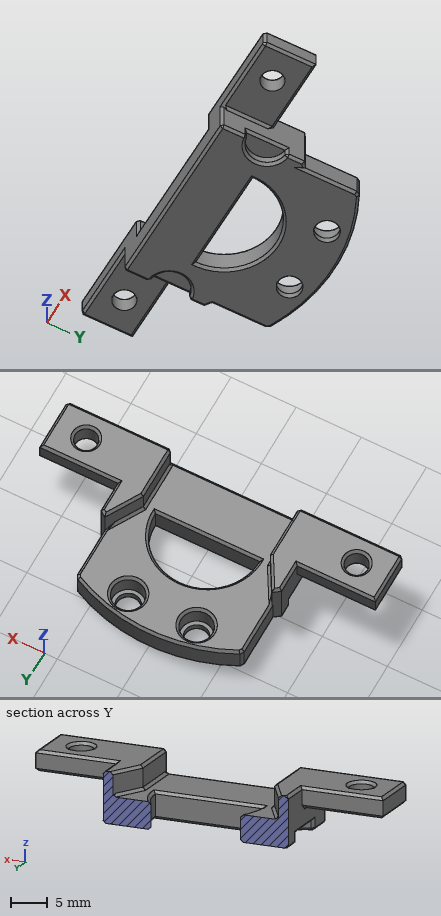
import cadquery as cq
import math

HALF_LENGTH = 25.75
TOP_Z = 7.5
PLATE_TOP_Z = 4.0
ARM_BOTTOM_Z = 4.5
ARM_DEPTH = 8.0
EDGE_CHAMFER = 0.4

PLATE_HALF_WIDTH = 12.8
PLATE_DEPTH = 25.03
BACK_RADIUS = 27.4
WINDOW_RADIUS = 8.0

BLOCK_HALF_WIDTH = 13.75
CHANNEL_HALF_WIDTH = 9.75
WALL_BEND_Y = 8.2
WALL_ANGLE = math.radians(60)
LEFT_CLIP_Y = 12.5
RIGHT_CLIP_Y = 12.85
CLIP_ANGLE = math.radians(36)

PLATE_HOLE_X = 5.25
PLATE_HOLE_Y = 21.0
PLATE_HOLE_DIAMETER = 3.6
COUNTERBORE_DIAMETER = 4.8
COUNTERBORE_DEPTH = 3.0
ARM_HOLE_X = 20.75
ARM_HOLE_Y = ARM_DEPTH / 2
ARM_HOLE_DIAMETER = 3.4

RECESS_RADIUS = 3.0
RECESS_DEPTH = 1.5
RECESS_Y = 7.05


def back_y(x):
    """Depth of the bowed back edge at a given x."""
    return PLATE_DEPTH - BACK_RADIUS + math.sqrt(BACK_RADIUS**2 - x**2)


def plate():
    """Plate with its window, top edges chamfered except along the front."""
    side_y = back_y(PLATE_HALF_WIDTH)
    outline = (
        cq.Workplane("XY")
        .moveTo(-PLATE_HALF_WIDTH, 0)
        .lineTo(PLATE_HALF_WIDTH, 0)
        .lineTo(PLATE_HALF_WIDTH, side_y)
        .threePointArc((0, PLATE_DEPTH), (-PLATE_HALF_WIDTH, side_y))
        .close()
        .extrude(PLATE_TOP_Z)
    )
    window = (
        cq.Workplane("XY")
        .moveTo(-WINDOW_RADIUS, ARM_DEPTH)
        .threePointArc((0, ARM_DEPTH + WINDOW_RADIUS), (WINDOW_RADIUS, ARM_DEPTH))
        .close()
        .extrude(PLATE_TOP_Z)
    )
    body = outline.edges("|Z").edges(">Y").chamfer(EDGE_CHAMFER).cut(window)
    return body.faces(">Z").edges("not <Y").chamfer(EDGE_CHAMFER)


def block(side, clip_y):
    """Raised block with a slanted inner wall and a clipped outer back corner."""
    wall_slope = math.tan(WALL_ANGLE)
    clip_slope = math.tan(CLIP_ANGLE)
    clip_y_at_wall = clip_y + (BLOCK_HALF_WIDTH - CHANNEL_HALF_WIDTH) * clip_slope
    tip_run = (clip_y_at_wall - WALL_BEND_Y) / (wall_slope + clip_slope)
    outline = [
        (CHANNEL_HALF_WIDTH, 0),
        (BLOCK_HALF_WIDTH, 0),
        (BLOCK_HALF_WIDTH, clip_y),
        (CHANNEL_HALF_WIDTH + tip_run, WALL_BEND_Y + tip_run * wall_slope),
        (CHANNEL_HALF_WIDTH, WALL_BEND_Y),
    ]
    points = [(side * x, y) for x, y in outline]
    return cq.Workplane("XY").polyline(points).close().extrude(TOP_Z)


def arm(side):
    """Mounting arm, chamfered below along its end and its back edge."""
    length = HALF_LENGTH - CHANNEL_HALF_WIDTH
    bottom = ARM_BOTTOM_Z
    bar = (
        cq.Workplane("XY")
        .box(length, ARM_DEPTH, TOP_Z - bottom, centered=(True, False, False))
        .translate((side * (HALF_LENGTH - length / 2), 0, bottom))
    )
    end = ">X" if side > 0 else "<X"
    return bar.faces("<Z").edges(end + " or >Y").chamfer(EDGE_CHAMFER)


def recess(side):
    """Half-round pocket in the underside, centred on the block's outer face."""
    return (
        cq.Workplane("XY")
        .center(side * BLOCK_HALF_WIDTH, RECESS_Y)
        .circle(RECESS_RADIUS)
        .extrude(RECESS_DEPTH)
    )


def bare_body():
    """Plate, blocks and arms joined, before the outside edges are chamfered."""
    body = plate()
    for side, clip_y in ((-1, LEFT_CLIP_Y), (1, RIGHT_CLIP_Y)):
        body = body.union(block(side, clip_y)).union(arm(side)).cut(recess(side))
    return body.clean()


def recess_mouth_edges(body, side):
    """Edges around the opening of a recess, on the block's outer face."""
    x = side * BLOCK_HALF_WIDTH
    reach = RECESS_RADIUS + EDGE_CHAMFER / 2
    low = (x - EDGE_CHAMFER, RECESS_Y - reach, EDGE_CHAMFER)
    high = (x + EDGE_CHAMFER, RECESS_Y + reach, RECESS_DEPTH + EDGE_CHAMFER)
    return body.edges(cq.selectors.BoxSelector(low, high)).edges("|Y or |Z").vals()


def chamfer_outside(body):
    """Chamfer the front, raised top and underside outlines and the recess mouths."""
    edges = body.faces(">Z or <Y or <Z").edges().vals()
    for side in (-1, 1):
        edges += recess_mouth_edges(body, side)
    unique_edges = list({edge.hashCode(): edge for edge in edges}.values())
    return body.newObject(unique_edges).chamfer(EDGE_CHAMFER)


def front_flare(x_min, x_max, z_min, z_max):
    """Opening in the front face that narrows at 45 degrees as it goes back."""
    c = EDGE_CHAMFER
    width = x_max - x_min + 2 * c
    height = z_max - z_min + 2 * c
    return (
        cq.Workplane("XZ")
        .center((x_min + x_max) / 2, (z_min + z_max) / 2)
        .rect(width, height)
        .extrude(-2 * c, taper=45)
    )


def wall_foot(side):
    """45 degree strip where a channel wall meets the plate."""
    c = EDGE_CHAMFER
    foot_x = CHANNEL_HALF_WIDTH - c
    end_x = PLATE_HALF_WIDTH - c
    bend_y = WALL_BEND_Y + c * math.tan((math.pi / 2 - WALL_ANGLE) / 2)
    end_y = bend_y + (end_x - foot_x) * math.tan(WALL_ANGLE)
    outline = [(foot_x, c), (foot_x, bend_y), (end_x, end_y), (end_x, c)]
    points = [(side * x, y) for x, y in outline]
    foot = cq.Workplane("XY", origin=(0, 0, PLATE_TOP_Z)).polyline(points).close().extrude(c, taper=45)
    return foot.cut(front_flare(-CHANNEL_HALF_WIDTH, CHANNEL_HALF_WIDTH, PLATE_TOP_Z, 2 * TOP_Z))


def arm_root(side):
    """45 degree strip under an arm, where it meets the block's outer face."""
    c = EDGE_CHAMFER
    width = BLOCK_HALF_WIDTH - CHANNEL_HALF_WIDTH
    strip = (
        cq.Workplane("XY", origin=(side * (BLOCK_HALF_WIDTH + c - width / 2), ARM_DEPTH / 2, ARM_BOTTOM_Z))
        .rect(width, ARM_DEPTH - 2 * c)
        .extrude(-c, taper=45)
    )
    x_min, x_max = sorted((side * BLOCK_HALF_WIDTH, side * HALF_LENGTH))
    return strip.cut(front_flare(x_min, x_max, 0, ARM_BOTTOM_Z))


def hole(x, y, diameter, bottom_z, top_z):
    """Cutter for a round hole with a chamfered upper rim."""
    radius = diameter / 2
    rim_base = cq.Vector(x, y, top_z - EDGE_CHAMFER)
    rim = cq.Solid.makeCone(radius, radius + EDGE_CHAMFER, EDGE_CHAMFER, rim_base)
    shaft = cq.Workplane("XY", origin=(x, y, bottom_z)).circle(radius).extrude(top_z - bottom_z)
    return shaft.union(cq.Workplane(rim))


def counterbored_hole(x, y):
    """Cutter for a through hole with a chamfered counterbore in the plate top."""
    bore = hole(x, y, COUNTERBORE_DIAMETER, PLATE_TOP_Z - COUNTERBORE_DEPTH, PLATE_TOP_Z)
    shaft = cq.Workplane("XY").center(x, y).circle(PLATE_HOLE_DIAMETER / 2).extrude(PLATE_TOP_Z)
    return bore.union(shaft)


part = chamfer_outside(bare_body())
for side in (-1, 1):
    part = part.union(wall_foot(side)).union(arm_root(side))
    part = part.cut(hole(side * ARM_HOLE_X, ARM_HOLE_Y, ARM_HOLE_DIAMETER, 0, TOP_Z))
    part = part.cut(counterbored_hole(side * PLATE_HOLE_X, PLATE_HOLE_Y))

result = part